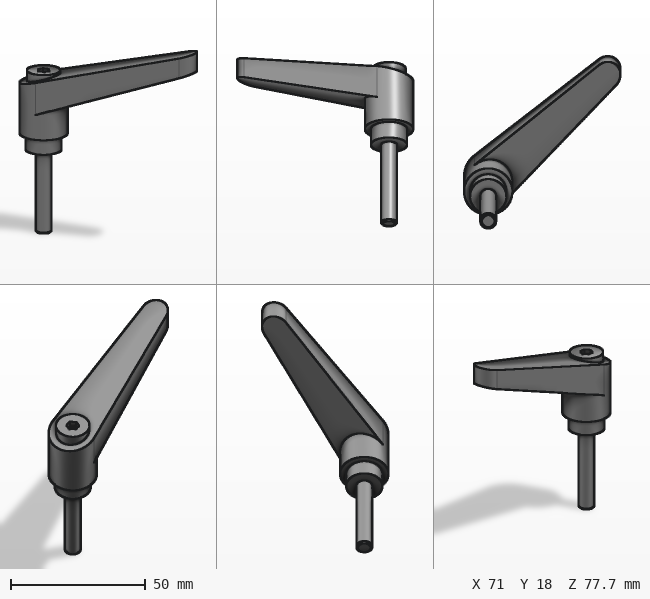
import cadquery as cq
import math

total_height = 77.65
stud_diameter = 6.0
stud_chamfer = 0.6
collar_bottom = 32.15
collar_radius = 6.75
hub_bottom = 38.5
hub_radius = 9.0
cap_diameter = 12.5
cap_top = 63.05

arm_length = 71.0
tip_radius = 5.05
top_low_height = 58.0
underside_root_height = 48.15
underside_tip_height = 70.3

socket_across_corners = 4.65
socket_depth = 3.9
socket_floor_angle = 120.0

tip_end_x = arm_length - hub_radius
tip_center_x = tip_end_x - tip_radius
tangent_sine = (hub_radius - tip_radius) / tip_center_x
tangent_cosine = math.sqrt(1 - tangent_sine**2)
root_x = hub_radius * tangent_sine
root_y = hub_radius * tangent_cosine
tip_x = tip_center_x + tip_radius * tangent_sine
tip_y = tip_radius * tangent_cosine


def cylinder(radius, bottom, top):
    return cq.Workplane("XY").workplane(offset=bottom).circle(radius).extrude(top - bottom)


def top_height(x):
    slope = (total_height - top_low_height) / arm_length
    return total_height + slope * (x - tip_end_x)


def underside_height(x):
    slope = (underside_tip_height - underside_root_height) / (tip_end_x - root_x)
    return underside_root_height + slope * (x - root_x)


def trim_to_profile(plan, profile_points):
    """Stand a plan outline on the hub bottom and keep what lies inside an XZ profile."""
    column = plan.extrude(total_height)
    profile = cq.Workplane("XZ").polyline(profile_points).close().extrude(arm_length, both=True)
    return column.intersect(profile)


def make_arm_and_hub_back():
    """Round back of the hub running tangentially into the tapered arm."""
    plan = (
        cq.Workplane("XY")
        .workplane(offset=hub_bottom)
        .moveTo(root_x, root_y)
        .lineTo(tip_x, tip_y)
        .threePointArc((tip_end_x, 0), (tip_x, -tip_y))
        .lineTo(root_x, -root_y)
        .threePointArc((-hub_radius, 0), (root_x, root_y))
        .close()
    )
    return trim_to_profile(plan, [
        (-arm_length, 0),
        (root_x, 0),
        (root_x, underside_root_height),
        (arm_length, underside_height(arm_length)),
        (arm_length, top_height(arm_length)),
        (-arm_length, top_height(-arm_length)),
    ])


def make_hub_front():
    """Round front of the hub, up to the sloping underside of the arm."""
    plan = (
        cq.Workplane("XY")
        .workplane(offset=hub_bottom)
        .moveTo(root_x, root_y)
        .threePointArc((hub_radius, 0), (root_x, -root_y))
        .close()
    )
    return trim_to_profile(plan, [
        (0, 0),
        (arm_length, 0),
        (arm_length, underside_height(arm_length)),
        (0, underside_height(0)),
    ])


def make_stud():
    return cylinder(stud_diameter / 2, 0, collar_bottom).faces("<Z").chamfer(stud_chamfer)


def make_socket():
    """Hexagonal pocket whose floor is a cone around the axis."""
    tip_height = cap_top - socket_depth
    cone_radius = socket_across_corners
    cone_height = cone_radius / math.tan(math.radians(socket_floor_angle / 2))
    hexagon = (
        cq.Workplane("XY")
        .workplane(offset=tip_height)
        .polygon(6, socket_across_corners)
        .extrude(socket_depth)
    )
    above_floor = (
        cq.Workplane("XZ")
        .polyline([
            (0, tip_height),
            (cone_radius, tip_height + cone_height),
            (cone_radius, cap_top + cone_height),
            (0, cap_top + cone_height),
        ])
        .close()
        .revolve(360, (0, 0), (0, 1))
    )
    return hexagon.intersect(above_floor)


lever = make_arm_and_hub_back().union(make_hub_front())
cap = cylinder(cap_diameter / 2, hub_bottom, cap_top)
collar = cylinder(collar_radius, collar_bottom, hub_bottom)
result = lever.union(cap).union(collar).union(make_stud()).cut(make_socket())